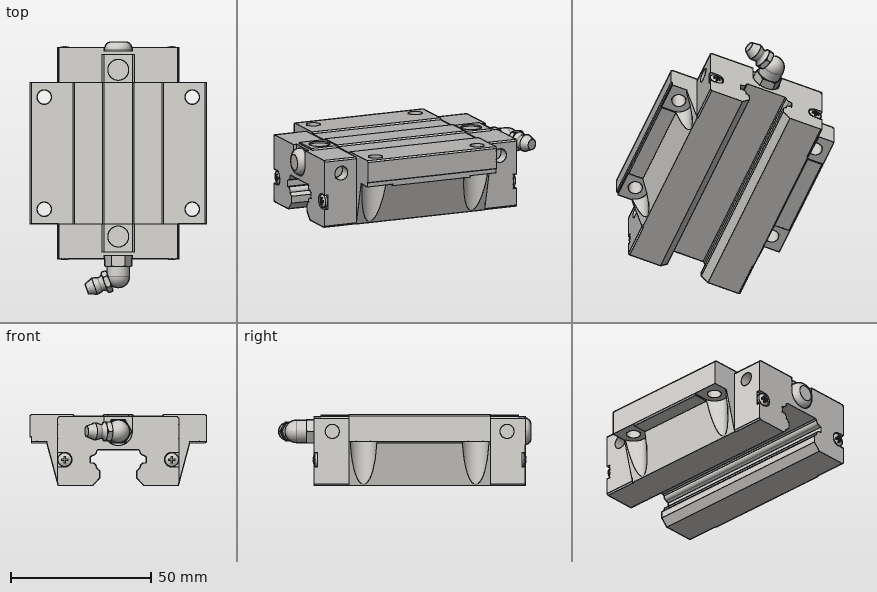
import cadquery as cq
import math


overall_length = 90.0

block_length = 50.4
block_height = 25.4
flange_width = 63.0
flange_bottom = 15.2
edge_chamfer = 0.5
datum_step_bottom = 17.4
recess_depth = 0.5
pad_inner_x = 16.2
strip_half_width = 5.0
wall_top_x = 25.5
wall_bottom_x = 21.4

hole_x = 26.4
hole_y = 20.0
hole_diameter = 5.0
spot_diameter = 9.6
spot_top = 15.75

cap_width = 43.2
cap_height = 24.6
cap_length = 10.0
plate_thickness = 2.5
cap_strip_height = 25.1
cap_strip_flare = 0.7
cap_end_y = block_length / 2 + cap_length
plate_end_y = cap_end_y + plate_thickness
top_port_y = 29.7
top_port_diameter = 7.5
top_port_depth = 0.5
side_port_y = 31.1
side_port_diameter = 5.0
side_port_depth = 4.5

rail_mouth_x = 9.2
rail_mouth_z = 2.7
rail_neck_x = 6.6
rail_neck_z = 5.2
rail_groove_x = 9.9
rail_groove_bottom = 8.1
rail_groove_top = 10.35
rail_ledge_x = 8.9
upper_ledge_z = 10.8
rail_roof_x = 7.3
rail_roof_z = 12.8
lower_nose_start = (7.7, 6.4)
lower_nose_middle = (8.1, 7.5)
upper_nose_middle = (8.1, 11.25)
upper_nose_end = (7.7, 12.3)

port_z = 19.35
port_slot_depth = 1.3
port_floor_y = plate_end_y - port_slot_depth

screw_x = 19.1
screw_z = 9.3
screw_head_radius = 2.4
screw_pocket_radius = 2.6
screw_pocket_depth = 1.3
screw_rim_height = 0.8
screw_proud = 0.3
cross_length = 2.4
cross_width = 0.6
cross_depth = 0.5

plug_radius = 4.9
plug_flat_radius = 2.9
plug_rim_y = 36.9
plug_end_y = 39.7
plug_shoulder = (4.4, 38.7)

elbow_hex_across_corners = 9.7
elbow_hex_end_y = -40.4
elbow_radius = 4.05
elbow_ball_y = -43.9
hex_corner_chamfer = 0.4

spout_angle = 20.0
spout_hex_across_corners = 7.8
spout_hex_start = 3.2
spout_hex_end = 5.2
spout_collar_radius = 3.3
spout_flare = (2.6, 6.0)
spout_neck = (2.5, 6.9)
spout_bulge = (2.9, 7.8)
spout_crest = (3.1, 9.0)
spout_tip = (1.9, 12.0)

spout_turn = math.radians(spout_angle)
crest_reach = spout_crest[1] * math.sin(spout_turn) + spout_crest[0] * math.cos(spout_turn)
spout_origin_y = plug_end_y - overall_length + crest_reach


def along_y(profile, start_y, end_y):
    """Extrude a closed XZ outline between two Y positions."""
    return profile.extrude(start_y - end_y).translate((0, start_y, 0))


def section():
    return cq.Workplane("XZ")


def make_block():
    half = flange_width / 2
    recess_z = block_height - recess_depth
    pad_foot_x = pad_inner_x - recess_depth
    strip_foot_x = strip_half_width + recess_depth
    set_back_x = half - edge_chamfer
    outline = [
        (-wall_bottom_x, 0),
        (-wall_top_x, flange_bottom),
        (-set_back_x, flange_bottom),
        (-set_back_x, datum_step_bottom),
        (-half, datum_step_bottom),
        (-half, block_height - edge_chamfer),
        (-half + edge_chamfer, block_height),
        (-pad_inner_x, block_height),
        (-pad_foot_x, recess_z),
        (-strip_foot_x, recess_z),
        (-strip_half_width, block_height),
        (strip_half_width, block_height),
        (strip_foot_x, recess_z),
        (pad_foot_x, recess_z),
        (pad_inner_x, block_height),
        (half - edge_chamfer, block_height),
        (half, block_height - edge_chamfer),
        (half, flange_bottom + edge_chamfer),
        (set_back_x, flange_bottom),
        (wall_top_x, flange_bottom),
        (wall_bottom_x, 0),
    ]
    block = along_y(section().polyline(outline).close(), -block_length / 2, block_length / 2)
    centres = [(x, y) for x in (-hole_x, hole_x) for y in (-hole_y, hole_y)]
    holes = cq.Workplane("XY").pushPoints(centres).circle(hole_diameter / 2).extrude(block_height)
    spot_faces = cq.Workplane("XY").pushPoints(centres).circle(spot_diameter / 2).extrude(spot_top)
    block = block.cut(holes).cut(spot_faces)

    relief_start_y = hole_y - spot_diameter / 2
    relief_size = (half - wall_top_x, block_length / 2 - relief_start_y, spot_top - flange_bottom)
    relief = (
        cq.Workplane("XY")
        .box(*relief_size, centered=False)
        .translate((wall_top_x, relief_start_y, flange_bottom))
    )
    reliefs = relief.union(relief.mirror("YZ"))
    return block.cut(reliefs).cut(reliefs.mirror("XZ"))


def make_end_cap():
    """+Y end cap together with its end plate."""
    start_y = block_length / 2
    cap = (
        cq.Workplane("XY")
        .box(cap_width, cap_length + plate_thickness, cap_height, centered=(True, False, False))
        .edges("|Y")
        .chamfer(edge_chamfer)
        .translate((0, start_y, 0))
    )
    strip_foot_x = strip_half_width + cap_strip_flare
    strip = (
        section()
        .moveTo(-strip_foot_x, cap_height)
        .lineTo(-strip_half_width, cap_strip_height)
        .lineTo(strip_half_width, cap_strip_height)
        .lineTo(strip_foot_x, cap_height)
        .close()
    )
    top_port = (
        cq.Workplane("XY", origin=(0, top_port_y, cap_strip_height - top_port_depth))
        .circle(top_port_diameter / 2)
        .extrude(top_port_depth)
    )
    cap = cap.union(along_y(strip, start_y, cap_end_y)).cut(top_port)
    for side in (-1, 1):
        side_port = (
            cq.Workplane("YZ", origin=(side * cap_width / 2, side_port_y, port_z))
            .circle(side_port_diameter / 2)
            .extrude(-side * side_port_depth)
        )
        cap = cap.cut(side_port)
    return cap


def rail_opening():
    """Symmetric rail opening, running the full length."""
    half = (
        section()
        .lineTo(rail_mouth_x, 0)
        .lineTo(rail_neck_x, rail_mouth_z)
        .lineTo(rail_neck_x, rail_neck_z)
        .lineTo(*lower_nose_start)
        .threePointArc(lower_nose_middle, (rail_ledge_x, rail_groove_bottom))
        .lineTo(rail_groove_x, rail_groove_bottom)
        .lineTo(rail_groove_x, rail_groove_top)
        .lineTo(rail_ledge_x, upper_ledge_z)
        .threePointArc(upper_nose_middle, upper_nose_end)
        .lineTo(rail_roof_x, rail_roof_z)
        .lineTo(0, rail_roof_z)
        .close()
    )
    right = along_y(half, -plate_end_y, plate_end_y)
    return right.union(right.mirror("YZ"))


def port_slot():
    """U slot in the +Y plate, open at the top."""
    slot = (
        section()
        .moveTo(-strip_half_width, block_height)
        .lineTo(-strip_half_width, port_z)
        .threePointArc((0, port_z - strip_half_width), (strip_half_width, port_z))
        .lineTo(strip_half_width, block_height)
        .close()
    )
    return along_y(slot, port_floor_y, plate_end_y)


def screw_pocket():
    """U pocket in the +Y plate, open at the +X side."""
    pocket = (
        section()
        .moveTo(cap_width / 2, screw_z + screw_pocket_radius)
        .lineTo(screw_x, screw_z + screw_pocket_radius)
        .threePointArc((screw_x - screw_pocket_radius, screw_z), (screw_x, screw_z - screw_pocket_radius))
        .lineTo(cap_width / 2, screw_z - screw_pocket_radius)
        .close()
    )
    return along_y(pocket, plate_end_y - screw_pocket_depth, plate_end_y)


def screw_head():
    """Domed head with a cross recess, on the +X side of the +Y plate."""
    floor_y = plate_end_y - screw_pocket_depth
    rim_y = floor_y + screw_rim_height
    crown_y = plate_end_y + screw_proud
    dome_height = crown_y - rim_y
    dome_radius = (screw_head_radius ** 2 + dome_height ** 2) / (2 * dome_height)
    mid_x = screw_head_radius / 2
    mid_y = crown_y - dome_radius + math.sqrt(dome_radius ** 2 - mid_x ** 2)
    head = (
        cq.Workplane("XY")
        .moveTo(0, floor_y)
        .lineTo(screw_head_radius, floor_y)
        .lineTo(screw_head_radius, rim_y)
        .threePointArc((mid_x, mid_y), (0, crown_y))
        .close()
        .revolve(360, (0, 0, 0), (0, 1, 0))
    )
    bar = cq.Workplane("XY").box(cross_length, 2 * cross_depth, cross_width)
    cross = bar.union(bar.rotate((0, 0, 0), (0, 1, 0), 90)).translate((0, crown_y, 0))
    return head.cut(cross).translate((screw_x, 0, screw_z))


def make_plug():
    return (
        cq.Workplane("XY")
        .moveTo(0, port_floor_y)
        .lineTo(plug_radius, port_floor_y)
        .lineTo(plug_radius, plug_rim_y)
        .threePointArc(plug_shoulder, (plug_flat_radius, plug_end_y))
        .lineTo(0, plug_end_y)
        .close()
        .revolve(360, (0, 0, 0), (0, 1, 0))
        .translate((0, 0, port_z))
    )


def bevelled_blank(across_corners, length, both_ends):
    """Turned blank along Z that bevels the corners of a hexagon."""
    blank = cq.Workplane("XY").circle(across_corners / 2).extrude(length)
    ends = "<Z or >Z" if both_ends else ">Z"
    return blank.faces(ends).chamfer(hex_corner_chamfer)


def make_elbow():
    """Hexagon, round stem and ball end, pointing towards -Y."""
    hex_length = abs(elbow_hex_end_y) - port_floor_y
    hexagon = cq.Workplane("XY").polygon(6, elbow_hex_across_corners).extrude(hex_length)
    hexagon = hexagon.intersect(bevelled_blank(elbow_hex_across_corners, hex_length, False))
    stem_length = abs(elbow_ball_y) - port_floor_y
    stem = cq.Workplane("XY").circle(elbow_radius).extrude(stem_length)
    ball = cq.Workplane("XY").sphere(elbow_radius).translate((0, 0, stem_length))
    elbow = hexagon.union(stem).union(ball)
    return elbow.rotate((0, 0, 0), (1, 0, 0), 90).translate((0, -port_floor_y, port_z))


def make_spout():
    hex_length = spout_hex_end - spout_hex_start
    hexagon = cq.Workplane("XY").polygon(6, spout_hex_across_corners).extrude(hex_length)
    hexagon = hexagon.intersect(bevelled_blank(spout_hex_across_corners, hex_length, True))
    hexagon = hexagon.rotate((0, 0, 0), (0, 0, 1), 90).translate((0, 0, spout_hex_start))
    turned = (
        cq.Workplane("XZ")
        .moveTo(0, spout_hex_start)
        .lineTo(spout_collar_radius, spout_hex_start)
        .lineTo(spout_collar_radius, spout_hex_end)
        .threePointArc(spout_flare, spout_neck)
        .threePointArc(spout_bulge, spout_crest)
        .lineTo(*spout_tip)
        .lineTo(0, spout_tip[1])
        .close()
        .revolve(360, (0, 0, 0), (0, 1, 0))
    )
    spout = hexagon.union(turned).rotate((0, 0, 0), (0, 1, 0), -90)
    return spout.rotate((0, 0, 0), (0, 0, 1), spout_angle).translate((0, spout_origin_y, port_z))


end_cap = make_end_cap().cut(port_slot())
pocket = screw_pocket()
end_cap = end_cap.cut(pocket).cut(pocket.mirror("YZ"))
head = screw_head()
end_cap = end_cap.union(head).union(head.mirror("YZ"))

result = make_block().union(end_cap).union(end_cap.mirror("XZ")).cut(rail_opening())
result = result.union(make_plug()).union(make_elbow()).union(make_spout())